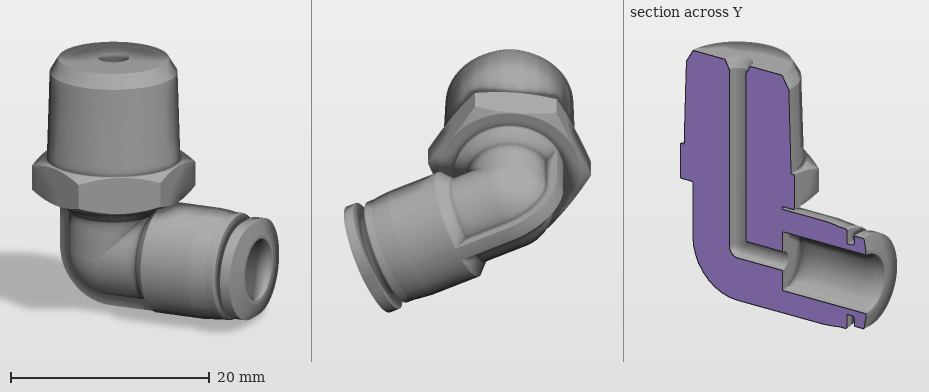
import cadquery as cq
import math


elbow_radius = 9.0 / 2
sleeve_radius = 11.3 / 2
rib_width = 1.5
collar_bottom = 5.4

hex_sides = 6
hex_across_flats = 14.3
hex_bottom = 5.9
hex_height = 3.85
hex_top = hex_bottom + hex_height
hex_face_radius = 14.2 / 2
hex_chamfer_angle = math.radians(30)

thread_top = 20.2
thread_lead_height = 1.42
thread_lead_top = thread_top - thread_lead_height
thread_lead_radius = 11.16 / 2
thread_end_radius = 12.88 / 2
thread_taper = 1 / 16
thread_base_radius = thread_end_radius + thread_taper / 2 * (thread_lead_top - hex_top)

sleeve_straight_end = 10.8
sleeve_curve_end = 12.75
sleeve_end = 13.7
sleeve_end_radius = 10.9 / 2
sleeve_end_chamfer = 0.15

neck_radius = 7.75 / 2
neck_end = 14.25
flange_start = 14.6
flange_end = 16.1
neck_flare = flange_start - neck_end
flange_radius = 9.85 / 2
flange_flat_width = 1.94
flange_length = 2 * flange_radius + flange_flat_width
flange_face_radius = 3.54
flange_face_angle = math.radians(11)

channel_radius = 2.0 / 2
mouth_radius = 3.15 / 2
mouth_half_angle = math.radians(30)
mouth_depth = (mouth_radius - channel_radius) / math.tan(mouth_half_angle)
socket_radius = 6.35 / 2
socket_bottom = sleeve_radius


def cylinder_up(radius, start, end):
    """Cylinder on the Z axis."""
    return cq.Workplane("XY").workplane(offset=start).circle(radius).extrude(end - start)


def cylinder_along(radius, start, end):
    """Cylinder on the X axis."""
    return cq.Workplane("YZ").workplane(offset=start).circle(radius).extrude(end - start)


def turned_up(outline):
    """Solid of revolution about Z from (radius, z) points, closed through the axis."""
    points = [(0, outline[0][1])] + outline + [(0, outline[-1][1])]
    return cq.Workplane("XZ").polyline(points).close().revolve(360, (0, 0, 0), (0, 1, 0))


def round_elbow(radius, top, end):
    """Vertical and horizontal cylinders joined by a ball at the corner."""
    elbow = cq.Workplane("XY").sphere(radius)
    elbow = elbow.union(cylinder_up(radius, 0, top))
    return elbow.union(cylinder_along(radius, 0, end))


def make_rib():
    """Central slice of a larger elbow, running round the outside of the bend."""
    slab_size = 4 * sleeve_radius
    slab = cq.Workplane("XY").box(slab_size, rib_width, slab_size)
    return round_elbow(sleeve_radius, hex_bottom, sleeve_radius).intersect(slab)


def make_hexagon():
    """Hexagon with corners on +Y and -Y, chamfered at both ends."""
    corner_radius = hex_across_flats / 2 / math.cos(math.pi / hex_sides)
    corner_drop = (corner_radius - hex_face_radius) * math.tan(hex_chamfer_angle)
    prism = (
        cq.Workplane("XY")
        .workplane(offset=hex_bottom)
        .polygon(hex_sides, 2 * corner_radius)
        .extrude(hex_height)
        .rotate((0, 0, 0), (0, 0, 1), 180 / hex_sides)
    )
    envelope = turned_up([
        (hex_face_radius, hex_bottom),
        (corner_radius, hex_bottom + corner_drop),
        (corner_radius, hex_top - corner_drop),
        (hex_face_radius, hex_top),
    ])
    return prism.intersect(envelope)


def make_shoulder():
    """45 degree cone and short collar under the hexagon."""
    return turned_up([
        (elbow_radius, collar_bottom - (sleeve_radius - elbow_radius)),
        (sleeve_radius, collar_bottom),
        (sleeve_radius, hex_bottom),
    ])


def make_thread():
    """Plain taper with a lead-in cone at the top."""
    return turned_up([
        (thread_base_radius, hex_top),
        (thread_end_radius, thread_lead_top),
        (thread_lead_radius, thread_top),
    ])


def make_sleeve():
    """Tube sleeve with a 45 degree back cone and a gently rounded front."""
    curve_length = sleeve_curve_end - sleeve_straight_end
    curve_drop = sleeve_radius - sleeve_end_radius
    curve_middle = (sleeve_straight_end + curve_length / 2, sleeve_radius - curve_drop / 4)
    return (
        cq.Workplane("XZ")
        .moveTo(elbow_radius, 0)
        .lineTo(elbow_radius, elbow_radius)
        .lineTo(sleeve_radius, sleeve_radius)
        .lineTo(sleeve_straight_end, sleeve_radius)
        .threePointArc(curve_middle, (sleeve_curve_end, sleeve_end_radius))
        .lineTo(sleeve_end - sleeve_end_chamfer, sleeve_end_radius)
        .lineTo(sleeve_end, sleeve_end_radius - sleeve_end_chamfer)
        .lineTo(sleeve_end, 0)
        .close()
        .revolve(360, (0, 0, 0), (1, 0, 0))
    )


def make_neck():
    """Round neck flaring into the back of the flange."""
    flare_radius = neck_radius + neck_flare
    flare_middle = (
        neck_end + neck_flare * math.sin(math.pi / 4),
        flare_radius - neck_flare * math.cos(math.pi / 4),
    )
    return (
        cq.Workplane("XZ")
        .moveTo(sleeve_end, 0)
        .lineTo(sleeve_end, neck_radius)
        .lineTo(neck_end, neck_radius)
        .threePointArc(flare_middle, (flange_start, flare_radius))
        .lineTo(flange_start, 0)
        .close()
        .revolve(360, (0, 0, 0), (1, 0, 0))
    )


def make_flange():
    """Obround flange, long in Y, with a flat face inside a shallow cone."""
    obround = (
        cq.Workplane("YZ")
        .workplane(offset=flange_start)
        .slot2D(flange_length, 2 * flange_radius)
        .extrude(flange_end - flange_start)
    )
    rim_radius = flange_length / 2
    rim_drop = (rim_radius - flange_face_radius) * math.tan(flange_face_angle)
    envelope = (
        cq.Workplane("XZ")
        .moveTo(flange_start, 0)
        .lineTo(flange_start, rim_radius)
        .lineTo(flange_end - rim_drop, rim_radius)
        .lineTo(flange_end, flange_face_radius)
        .lineTo(flange_end, 0)
        .close()
        .revolve(360, (0, 0, 0), (1, 0, 0))
    )
    return obround.intersect(envelope)


def cut_passages(body):
    """Round-cornered flow channel, countersunk at the top and opening into the tube socket."""
    channel = round_elbow(channel_radius, thread_top, socket_bottom)
    mouth = turned_up([
        (channel_radius, thread_top - mouth_depth),
        (mouth_radius, thread_top),
    ])
    socket = cylinder_along(socket_radius, socket_bottom, flange_end)
    return body.cut(channel).cut(mouth).cut(socket)


body = round_elbow(elbow_radius, hex_bottom, sleeve_radius)
for feature in (
    make_rib(),
    make_shoulder(),
    make_hexagon(),
    make_thread(),
    make_sleeve(),
    make_neck(),
    make_flange(),
):
    body = body.union(feature)

result = cut_passages(body)